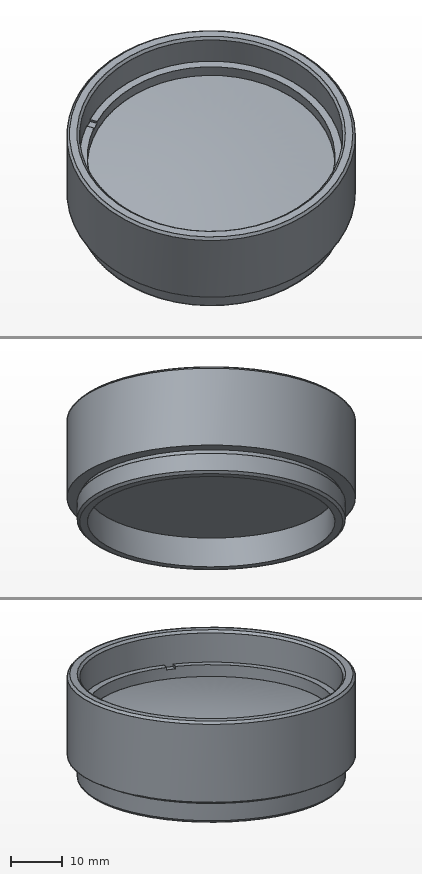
import cadquery as cq

outer_radius = 28.0
total_height = 21.5
spigot_radius = 26.05
neck_radius = 25.55
spigot_top = 4.05
barrel_bottom = 5.0
edge_chamfer = 0.5
bore_radius = 25.55
seat_thickness = 1.0
seat_height = barrel_bottom + seat_thickness

clear_radius = 24.0
ring_depth = 6.5
ring_thickness = 2.4
slot_width = 1.85
slot_depth = 0.5

dome_rise = 2.1

ring_top = total_height - ring_depth
ring_bottom = ring_top - ring_thickness


def disc(radius, bottom, top):
    """Solid cylinder on the Z axis between two heights."""
    return cq.Workplane("XY").workplane(offset=bottom).circle(radius).extrude(top - bottom)


def make_housing():
    """Stepped barrel with a spigot, a lens bore and a seat around the aperture."""
    spigot = disc(spigot_radius, 0, spigot_top).faces("<Z").chamfer(edge_chamfer)
    neck = disc(neck_radius, spigot_top, barrel_bottom)
    barrel = disc(outer_radius, barrel_bottom, total_height)
    body = spigot.union(neck).union(barrel)
    body = body.cut(disc(bore_radius, seat_height, total_height))
    body = body.cut(disc(clear_radius, 0, seat_height))
    return body.faces(">Z").edges().chamfer(edge_chamfer)


def make_retaining_ring():
    """Ring above the lens, with a spanner slot on each side along X."""
    ring = disc(bore_radius, ring_bottom, ring_top).cut(disc(clear_radius, ring_bottom, ring_top))
    slots = (
        cq.Workplane("XY")
        .workplane(offset=ring_top - slot_depth)
        .rect(2 * bore_radius, slot_width)
        .extrude(slot_depth)
    )
    return ring.cut(slots)


def make_lens():
    """Lens with a flat back, a flat rim under the ring and a spherical dome."""
    sphere_radius = (clear_radius**2 + dome_rise**2) / (2 * dome_rise)
    apex = ring_bottom + dome_rise
    mid_radius = clear_radius / 2
    mid_height = apex - sphere_radius + (sphere_radius**2 - mid_radius**2) ** 0.5
    return (
        cq.Workplane("XZ")
        .moveTo(0, seat_height)
        .lineTo(bore_radius, seat_height)
        .lineTo(bore_radius, ring_bottom)
        .lineTo(clear_radius, ring_bottom)
        .threePointArc((mid_radius, mid_height), (0, apex))
        .close()
        .revolve(360, (0, 0), (0, 1))
    )


housing = make_housing()
retaining_ring = make_retaining_ring()
lens = make_lens()

result = cq.Compound.makeCompound([housing.val(), retaining_ring.val(), lens.val()])